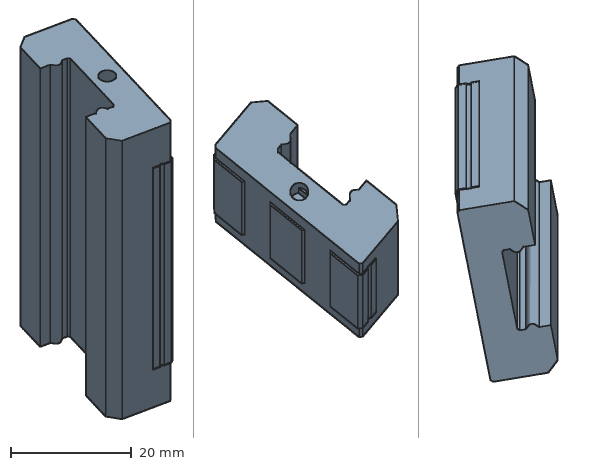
import cadquery as cq
import math

LENGTH = 59.8
WIDTH = 32.0
HEIGHT = 12.0

BODY_LENGTH = 43.25
CAP_WIDTH = 31.65
CAP_HEIGHT = 11.65
CAP_LENGTH = (LENGTH - BODY_LENGTH) / 2
CAP_CHAMFER = 0.4
SKIRT_CHAMFER = 2.0

SLOT_WIDTH = 14.8
SLOT_DEPTH = 5.6
SLOT_CHAMFER = 0.35
RIB_CENTER_HEIGHT = 3.1
RIB_HALF_HEIGHT = 1.15
RIB_TIP_RADIUS = 0.85

FLANK_HEIGHT = 4.1
BODY_CHAMFER = 0.6
PAD_GAP_WIDTH = 6.15
PAD_WIDTH = 6.75
PAD_RISE = HEIGHT - CAP_HEIGHT
GROOVE_DIAMETER = 0.8
GROOVE_DROP = 2.4

BORE_DIAMETER = 3.0
BORE_HEIGHT = 8.55
BORE_LEDGE_DROP = 1.1
BORE_LEDGE_DEPTH = CAP_LENGTH / 2


def extrude_along_z(sketch, length):
    """Extrude an XY outline symmetrically about mid-length."""
    return sketch.extrude(length / 2, both=True)


def make_rail_profile():
    """Full-length channel profile without ribs."""
    profile = (
        cq.Workplane("XY")
        .moveTo(-CAP_WIDTH / 2 + SKIRT_CHAMFER, 0)
        .lineTo(CAP_WIDTH / 2 - SKIRT_CHAMFER, 0)
        .lineTo(CAP_WIDTH / 2, SKIRT_CHAMFER)
        .lineTo(CAP_WIDTH / 2, CAP_HEIGHT - CAP_CHAMFER)
        .lineTo(CAP_WIDTH / 2 - CAP_CHAMFER, CAP_HEIGHT)
        .lineTo(-CAP_WIDTH / 2 + CAP_CHAMFER, CAP_HEIGHT)
        .lineTo(-CAP_WIDTH / 2, CAP_HEIGHT - CAP_CHAMFER)
        .lineTo(-CAP_WIDTH / 2, SKIRT_CHAMFER)
        .close()
    )
    slot = (
        cq.Workplane("XY")
        .moveTo(-SLOT_WIDTH / 2, 0)
        .lineTo(SLOT_WIDTH / 2, 0)
        .lineTo(SLOT_WIDTH / 2, SLOT_DEPTH - SLOT_CHAMFER)
        .lineTo(SLOT_WIDTH / 2 - SLOT_CHAMFER, SLOT_DEPTH)
        .lineTo(-SLOT_WIDTH / 2 + SLOT_CHAMFER, SLOT_DEPTH)
        .lineTo(-SLOT_WIDTH / 2, SLOT_DEPTH - SLOT_CHAMFER)
        .close()
    )
    return extrude_along_z(profile, LENGTH).cut(extrude_along_z(slot, LENGTH))


def make_rib(side):
    """45 degree rib with a tangent round tip on the slot wall at side = -1 or +1."""
    wall_x = side * SLOT_WIDTH / 2
    center_x = wall_x - side * (RIB_HALF_HEIGHT - RIB_TIP_RADIUS * math.sqrt(2))
    tangent_offset = RIB_TIP_RADIUS / math.sqrt(2)
    tangent_x = center_x - side * tangent_offset
    tip = (center_x - side * RIB_TIP_RADIUS, RIB_CENTER_HEIGHT)
    rib = (
        cq.Workplane("XY")
        .moveTo(wall_x, RIB_CENTER_HEIGHT - RIB_HALF_HEIGHT)
        .lineTo(tangent_x, RIB_CENTER_HEIGHT - tangent_offset)
        .threePointArc(tip, (tangent_x, RIB_CENTER_HEIGHT + tangent_offset))
        .lineTo(wall_x, RIB_CENTER_HEIGHT + RIB_HALF_HEIGHT)
        .close()
    )
    return extrude_along_z(rib, LENGTH)


def make_body_skin():
    """Slightly wider and higher middle stretch, with pads and flanks."""
    skin = (
        cq.Workplane("XY")
        .moveTo(-WIDTH / 2, HEIGHT - FLANK_HEIGHT)
        .lineTo(WIDTH / 2, HEIGHT - FLANK_HEIGHT)
        .lineTo(WIDTH / 2, HEIGHT - BODY_CHAMFER)
        .lineTo(WIDTH / 2 - BODY_CHAMFER, HEIGHT)
        .lineTo(-WIDTH / 2 + BODY_CHAMFER, HEIGHT)
        .lineTo(-WIDTH / 2, HEIGHT - BODY_CHAMFER)
        .close()
    )
    body = extrude_along_z(skin, BODY_LENGTH)
    gap_center = (PAD_WIDTH + PAD_GAP_WIDTH) / 2
    for side in (-1, 1):
        gap = (
            cq.Workplane("XY")
            .moveTo(side * gap_center - PAD_GAP_WIDTH / 2, HEIGHT)
            .lineTo(side * gap_center - PAD_GAP_WIDTH / 2 + PAD_RISE, CAP_HEIGHT)
            .lineTo(side * gap_center + PAD_GAP_WIDTH / 2 - PAD_RISE, CAP_HEIGHT)
            .lineTo(side * gap_center + PAD_GAP_WIDTH / 2, HEIGHT)
            .close()
        )
        body = body.cut(extrude_along_z(gap, BODY_LENGTH))
    return body


def make_side_grooves():
    """Half-round grooves running along both flanks of the body."""
    grooves = (
        cq.Workplane("XY")
        .pushPoints([(side * WIDTH / 2, HEIGHT - GROOVE_DROP) for side in (-1, 1)])
        .circle(GROOVE_DIAMETER / 2)
    )
    return extrude_along_z(grooves, BODY_LENGTH)


def make_end_bore():
    """Blind bore through the upper cap; a flat ledge fills its lower segment."""
    end_face = cq.Workplane("XY", origin=(0, BORE_HEIGHT, LENGTH / 2))
    bore = end_face.circle(BORE_DIAMETER / 2).extrude(-CAP_LENGTH)
    ledge = (
        end_face.workplane(offset=-BORE_LEDGE_DEPTH)
        .center(0, -BORE_LEDGE_DROP - BORE_DIAMETER / 2)
        .rect(BORE_DIAMETER, BORE_DIAMETER)
        .extrude(BORE_LEDGE_DEPTH - CAP_LENGTH)
    )
    return bore.cut(ledge)


carriage = make_rail_profile().union(make_body_skin())
for wall_side in (-1, 1):
    carriage = carriage.union(make_rib(wall_side))

result = carriage.cut(make_side_grooves()).cut(make_end_bore())